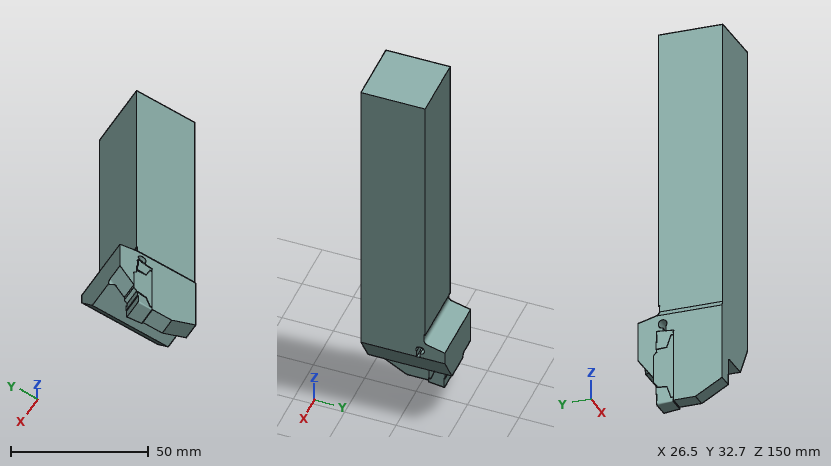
import cadquery as cq


OVERALL_LENGTH = 150.0
SHANK_SIZE = 25.0
SHANK_RIGHT = 26.5
SHANK_LEFT = SHANK_RIGHT - SHANK_SIZE
HEAD_OFFSET = 0.8
HEAD_LEFT = SHANK_LEFT - HEAD_OFFSET
HEAD_DEPTH = 32.7
HEAD_STEP_Z = 36.3
HEAD_STEP_HEIGHT = 1.8
HEAD_BOTTOM = 17.5
CORNER_CUT_X = 7.2
CORNER_CUT_Z = 11.8

JAW_TOP_OUTER_Z = 34.5
JAW_TOP_INNER_Z = 36.6
JAW_FILLET = 1.8
UNDERCUT_DEPTH = 0.5
UNDERCUT_TOP = 40.6
UNDERCUT_Y = SHANK_SIZE - UNDERCUT_DEPTH
JAW_TIP_Z = 19.5
JAW_SLANT_END_Z = 11.5

BLADE_WIDTH = 6.5
BLADE_RIGHT = HEAD_LEFT + BLADE_WIDTH
BLADE_BOTTOM = 1.2
BLADE_ROOT_FILLET = 1.0
OPENING_FILLET = 1.4
OPENING_RIGHT = BLADE_RIGHT + OPENING_FILLET
TOE_CUT_Y = 10.4
TOE_CUT_Z = 5.8

INSERT_LENGTH = 30.0
INSERT_MID_Z = INSERT_LENGTH / 2
CUTTING_WIDTH = 8.1
SEAT_Y = 18.9
RAKE_Y = 25.2
RIDGE_Y = 26.7
RIDGE_HALF_LENGTH = 5.2
RIDGE_FOOT_HALF_LENGTH = 6.8
RELIEF_ANGLE = 5.0
CUTTER_LENGTH = 7.4
CUTTER_INNER_Y = 21.5
CUTTER_TAIL_Y = 19.8
CUTTER_TAIL_LENGTH = 2.4
CUTTER_EDGE_DROP = 0.3
CHIP_STEP_Z = 4.5
CHIP_STEP_HEIGHT = 0.3
FOOT_Y = RAKE_Y + CHIP_STEP_HEIGHT
BACK_TAPER = 0.6
NOSE_RADIUS = 0.8

RELIEF_HOLE_Y = 23.1
RELIEF_HOLE_Z = 32.7
RELIEF_HOLE_RADIUS = 1.6
SLOT_WIDTH = 1.4
SLOT_Y = 22.4


def yz_prism(points, x_start, x_end):
    """Extrude a (Y, Z) outline along X."""
    return cq.Workplane("YZ").workplane(offset=x_start).polyline(points).close().extrude(x_end - x_start)


def xz_prism(points, y_start, y_end):
    """Extrude an (X, Z) outline along Y."""
    return cq.Workplane("XZ").workplane(offset=-y_end).polyline(points).close().extrude(y_end - y_start)


def insert_core():
    """Narrow middle of the insert, flush with the blade's -X face."""
    lower_half = [
        (SEAT_Y, CUTTER_TAIL_LENGTH),
        (CUTTER_TAIL_Y, CUTTER_TAIL_LENGTH),
        (CUTTER_INNER_Y, CUTTER_LENGTH - CUTTER_EDGE_DROP),
        (FOOT_Y, CUTTER_LENGTH),
        (FOOT_Y, INSERT_MID_Z - RIDGE_FOOT_HALF_LENGTH),
        (RIDGE_Y, INSERT_MID_Z - RIDGE_HALF_LENGTH),
    ]
    upper_half = [(y, INSERT_LENGTH - z) for y, z in reversed(lower_half)]
    outline = lower_half + upper_half
    return yz_prism(outline, HEAD_LEFT, BLADE_RIGHT)


def lower_cutter():
    """Cutter with end relief, back taper, side relief and rounded nose corners."""
    side = yz_prism(
        [
            (RAKE_Y, 0),
            (RAKE_Y, CHIP_STEP_Z),
            (FOOT_Y, CHIP_STEP_Z),
            (FOOT_Y, CUTTER_LENGTH),
            (CUTTER_INNER_Y, CUTTER_LENGTH - CUTTER_EDGE_DROP),
            (CUTTER_TAIL_Y, CUTTER_TAIL_LENGTH),
            (SEAT_Y, CUTTER_TAIL_LENGTH),
            (SEAT_Y, 0),
        ],
        0,
        CUTTING_WIDTH,
    )
    plan = (
        cq.Sketch()
        .polygon([
            (0, 0),
            (CUTTING_WIDTH, 0),
            (CUTTING_WIDTH - BACK_TAPER, INSERT_MID_Z),
            (BACK_TAPER, INSERT_MID_Z),
            (0, 0),
        ])
        .vertices("<Y")
        .fillet(NOSE_RADIUS)
        .reset()
    )
    rake_plane = cq.Workplane("XZ").workplane(offset=-RAKE_Y)
    below_rake = rake_plane.placeSketch(plan).extrude(RAKE_Y - SEAT_Y, taper=RELIEF_ANGLE)
    above_rake = rake_plane.placeSketch(plan).extrude(-CHIP_STEP_HEIGHT)
    return side.intersect(below_rake.union(above_rake))


def make_insert():
    """Double-ended grooving insert."""
    cutter = lower_cutter()
    upper = cutter.mirror("XY", (0, 0, INSERT_MID_Z))
    return insert_core().union(cutter).union(upper)


def holder_blank():
    """Shank, wide head and blade as one XZ outline, before the Y shape is cut."""
    outline = [
        (SHANK_LEFT, OVERALL_LENGTH),
        (SHANK_RIGHT, OVERALL_LENGTH),
        (SHANK_RIGHT, HEAD_BOTTOM + CORNER_CUT_Z),
        (SHANK_RIGHT - CORNER_CUT_X, HEAD_BOTTOM),
        (BLADE_RIGHT, HEAD_BOTTOM),
        (BLADE_RIGHT, BLADE_BOTTOM),
        (HEAD_LEFT, BLADE_BOTTOM),
        (HEAD_LEFT, HEAD_STEP_Z),
        (SHANK_LEFT, HEAD_STEP_Z + HEAD_STEP_HEIGHT),
    ]
    blank = xz_prism(outline, 0, HEAD_DEPTH)
    root = cq.selectors.NearestToPointSelector((BLADE_RIGHT, HEAD_DEPTH / 2, HEAD_BOTTOM))
    return blank.edges(root).fillet(BLADE_ROOT_FILLET)


def side_profile():
    """YZ outline of the holder: toe cut in front, jaw behind."""
    profile = yz_prism(
        [
            (0, OVERALL_LENGTH),
            (0, BLADE_BOTTOM + TOE_CUT_Z),
            (TOE_CUT_Y, BLADE_BOTTOM),
            (HEAD_DEPTH, BLADE_BOTTOM),
            (HEAD_DEPTH, JAW_TOP_OUTER_Z),
            (UNDERCUT_Y, JAW_TOP_INNER_Z),
            (UNDERCUT_Y, UNDERCUT_TOP),
            (SHANK_SIZE, UNDERCUT_TOP),
            (SHANK_SIZE, OVERALL_LENGTH),
        ],
        HEAD_LEFT,
        SHANK_RIGHT,
    )
    inner = cq.selectors.NearestToPointSelector((SHANK_RIGHT / 2, UNDERCUT_Y, JAW_TOP_INNER_Z))
    return profile.edges(inner).fillet(JAW_FILLET)


def blade_opening():
    """Space behind the blade, below the slanted underside of the jaw and above the seat."""
    opening = yz_prism(
        [
            (HEAD_DEPTH, JAW_TIP_Z),
            (RIDGE_Y, JAW_SLANT_END_Z),
            (SEAT_Y, JAW_SLANT_END_Z),
            (SEAT_Y, BLADE_BOTTOM),
            (HEAD_DEPTH, BLADE_BOTTOM),
        ],
        HEAD_LEFT,
        OPENING_RIGHT,
    )
    slant_mid = (OPENING_RIGHT, (HEAD_DEPTH + RIDGE_Y) / 2, (JAW_TIP_Z + JAW_SLANT_END_Z) / 2)
    return opening.edges(cq.selectors.NearestToPointSelector(slant_mid)).fillet(OPENING_FILLET)


def flexing_slot():
    """Round hole and narrow slot that let the jaw flex."""
    length = SHANK_RIGHT - HEAD_LEFT
    start = cq.Workplane("YZ").workplane(offset=HEAD_LEFT)
    hole = start.center(RELIEF_HOLE_Y, RELIEF_HOLE_Z).circle(RELIEF_HOLE_RADIUS).extrude(length)
    slot_bottom = INSERT_LENGTH - NOSE_RADIUS
    slot = yz_prism(
        [
            (SLOT_Y - SLOT_WIDTH / 2, slot_bottom),
            (SLOT_Y + SLOT_WIDTH / 2, slot_bottom),
            (SLOT_Y + SLOT_WIDTH / 2, RELIEF_HOLE_Z),
            (SLOT_Y - SLOT_WIDTH / 2, RELIEF_HOLE_Z),
        ],
        HEAD_LEFT,
        SHANK_RIGHT,
    )
    return hole.union(slot)


def make_holder(insert):
    """Tool holder with a pocket that fits the insert."""
    body = holder_blank().intersect(side_profile())
    return body.cut(blade_opening()).cut(flexing_slot()).cut(insert)


insert = make_insert()
holder = make_holder(insert)
result = cq.Compound.makeCompound([holder.val(), insert.val()])